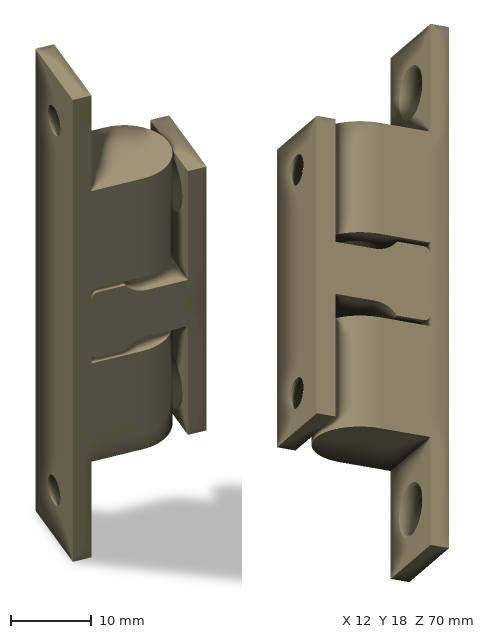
import cadquery as cq
import math

WIDTH = 12.0
HEIGHT = 70.0
DEPTH = 18.0
PLATE_THICKNESS = 2.5
SCREW_DIAMETER = 4.0
PLATE_HOLE_Z = 28.0
PLATE_COUNTERSINK_DIAMETER = 7.0
COUNTERSINK_ANGLE = 90.0

TOWER_FRONT_Y = 15.4
TOWER_INNER_Z = 5.6
TOWER_OUTER_Z = 20.5
BALL_RADIUS = 3.2
BALL_PROTRUSION = 1.9
BALL_Y = 10.1

STRIKE_THICKNESS = 2.5
STRIKE_HEIGHT = 40.0
STRIKE_INNER_Y = DEPTH - STRIKE_THICKNESS
STRIKE_HOLE_Z = 15.0
STRIKE_COUNTERSINK_DIAMETER = 8.4

NECK_HALF = 3.5
HEAD_HALF = 5.0
SEAT_RADIUS = 3.85
HEAD_FILLET = 1.0


def make_plate(thickness, height, y_start):
    """Flat plate, centred on X and Z, that reaches toward +Y from y_start."""
    return cq.Workplane("XY").box(WIDTH, thickness, height).translate(
        (0, y_start + thickness / 2, 0)
    )


def make_tower(side):
    """Tower with a half-round nose and its ball; side is +1 (upper) or -1 (lower)."""
    nose_start = TOWER_FRONT_Y - WIDTH / 2
    tower = (
        cq.Workplane("XY")
        .workplane(offset=side * TOWER_INNER_Z)
        .moveTo(-WIDTH / 2, PLATE_THICKNESS)
        .lineTo(WIDTH / 2, PLATE_THICKNESS)
        .lineTo(WIDTH / 2, nose_start)
        .threePointArc((0, TOWER_FRONT_Y), (-WIDTH / 2, nose_start))
        .close()
        .extrude(side * (TOWER_OUTER_Z - TOWER_INNER_Z))
    )
    ball_z = TOWER_INNER_Z - BALL_PROTRUSION + BALL_RADIUS
    ball = cq.Workplane("XY").sphere(BALL_RADIUS).translate((0, BALL_Y, side * ball_z))
    return tower.union(ball)


def make_housing():
    """Mounting plate, screw holes countersunk on its inner face, and both ball towers."""
    body = make_plate(PLATE_THICKNESS, HEIGHT, 0)
    body = (
        body.faces(">Y")
        .workplane(origin=(0, PLATE_THICKNESS, 0))
        .pushPoints([(0, PLATE_HOLE_Z), (0, -PLATE_HOLE_Z)])
        .cskHole(SCREW_DIAMETER, PLATE_COUNTERSINK_DIAMETER, COUNTERSINK_ANGLE)
    )
    for side in (1, -1):
        body = body.union(make_tower(side))
    return body


def make_tongue():
    """Tongue with a concave seat for each ball and a rounded head."""
    seat_rise = HEAD_HALF - NECK_HALF
    seat_run = math.sqrt(SEAT_RADIUS**2 - (SEAT_RADIUS - seat_rise) ** 2)
    seat_end_y = BALL_Y - seat_run
    half_angle = math.asin(seat_run / SEAT_RADIUS) / 2
    seat_mid_y = BALL_Y - SEAT_RADIUS * math.sin(half_angle)
    seat_mid_z = NECK_HALF + SEAT_RADIUS * (1 - math.cos(half_angle))
    return (
        cq.Workplane("YZ")
        .moveTo(STRIKE_INNER_Y, NECK_HALF)
        .lineTo(BALL_Y, NECK_HALF)
        .threePointArc((seat_mid_y, seat_mid_z), (seat_end_y, HEAD_HALF))
        .lineTo(PLATE_THICKNESS, HEAD_HALF)
        .lineTo(PLATE_THICKNESS, -HEAD_HALF)
        .lineTo(seat_end_y, -HEAD_HALF)
        .threePointArc((seat_mid_y, -seat_mid_z), (BALL_Y, -NECK_HALF))
        .lineTo(STRIKE_INNER_Y, -NECK_HALF)
        .close()
        .extrude(WIDTH / 2, both=True)
        .edges("|X and <Y")
        .fillet(HEAD_FILLET)
    )


def make_strike():
    """Strike plate, countersunk on its inner face, with the tongue."""
    plate = make_plate(STRIKE_THICKNESS, STRIKE_HEIGHT, STRIKE_INNER_Y)
    plate = (
        plate.faces("<Y")
        .workplane(origin=(0, STRIKE_INNER_Y, 0))
        .pushPoints([(0, STRIKE_HOLE_Z), (0, -STRIKE_HOLE_Z)])
        .cskHole(SCREW_DIAMETER, STRIKE_COUNTERSINK_DIAMETER, COUNTERSINK_ANGLE)
    )
    return plate.union(make_tongue())


housing = make_housing()
strike = make_strike()

result = cq.Compound.makeCompound([housing.val(), strike.val()])